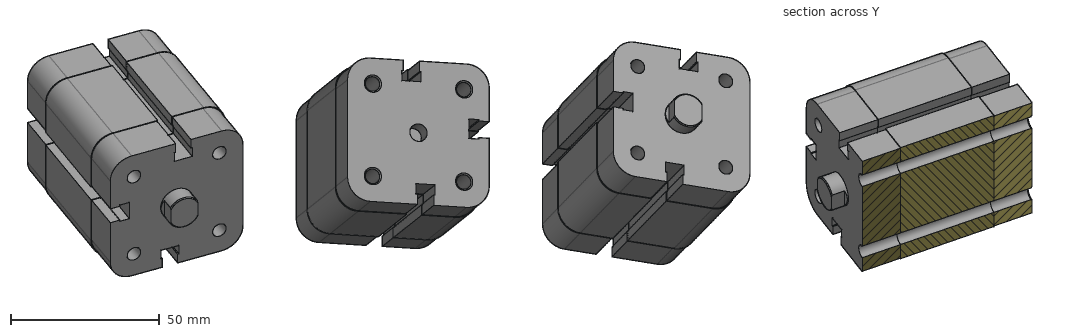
import cadquery as cq
import math


total_length = 70.5
cap_length = 14.5
rod_length = 6.0
tube_length = total_length - 2 * cap_length - rod_length

tube_width = 50.0
corner_radius = 8.0
cap_inset = 0.25

slot_offset = 2.5
slot_mouth_width = 5.2
slot_inner_width = 6.2
slot_lip_thickness = 3.6
slot_depth = 7.1
slot_turns = (0, 90, 180)

bolt_spacing = 31.9
bolt_hole_diameter = 5.0
bolt_chamfer = 0.5
bolt_chamfer_angle = 45.0

centre_hole_diameter = 6.0
centre_hole_depth = cap_length / 2

rod_diameter = 12.0
rod_chamfer = 0.35
flat_spacing = 10.0
flat_gap = 1.0
flat_end_angle = 30.0


def slot_cutter(inset, length):
    """T-slot in the +Z side; its mouth, inner walls and floor move outward by the inset."""
    side = tube_width / 2
    mouth = slot_mouth_width / 2 + inset
    inner = slot_inner_width / 2 + inset
    lip_z = side - inset - slot_lip_thickness
    floor_z = side - slot_depth - inset
    outline = [
        (-mouth, side), (-mouth, lip_z), (-inner, lip_z), (-inner, floor_z),
        (inner, floor_z), (inner, lip_z), (mouth, lip_z), (mouth, side),
    ]
    shifted = [(y + slot_offset, z) for y, z in outline]
    return cq.Workplane("YZ").polyline(shifted).close().extrude(length)


def bolt_points(plane):
    """Put the four bolt positions on a YZ workplane."""
    return plane.rect(bolt_spacing, bolt_spacing, forConstruction=True).vertices()


def section_block(inset, length):
    """Rounded, slotted and drilled block that starts at X = 0."""
    width = tube_width - 2 * inset
    block = cq.Workplane("YZ").rect(width, width).extrude(length)
    block = block.edges("|X").fillet(corner_radius)
    for turn in slot_turns:
        cutter = slot_cutter(inset, length).rotate((0, 0, 0), (1, 0, 0), turn)
        block = block.cut(cutter)
    holes = bolt_points(cq.Workplane("YZ")).circle(bolt_hole_diameter / 2).extrude(length)
    return block.cut(holes)


def make_tube():
    return section_block(0, tube_length).translate((cap_length, 0, 0))


def make_rear_cap():
    """Cap with chamfered bolt holes and a blind centre hole in its outer face."""
    cap = section_block(cap_inset, cap_length)
    mouth_radius = bolt_hole_diameter / 2 + bolt_chamfer
    mouths = bolt_points(cq.Workplane("YZ")).circle(mouth_radius)
    countersinks = mouths.extrude(bolt_chamfer, taper=bolt_chamfer_angle)
    centre_hole = cq.Workplane("YZ").circle(centre_hole_diameter / 2).extrude(centre_hole_depth)
    return cap.cut(countersinks).cut(centre_hole)


def make_front_cap():
    """Cap with plain bolt holes; the piston rod stands on its outer face."""
    return section_block(cap_inset, cap_length).translate((cap_length + tube_length, 0, 0))


def make_rod():
    """Round rod with a chamfered tip and a flat on its -Y and +Y sides."""
    radius = rod_diameter / 2
    rod = cq.Workplane("YZ").circle(radius).extrude(rod_length)
    rod = rod.faces(">X").chamfer(rod_chamfer)
    flat_y = flat_spacing / 2
    slope_length = (radius - flat_y) * math.tan(math.radians(flat_end_angle))
    outline = [
        (flat_gap, flat_y),
        (rod_length, flat_y),
        (rod_length, radius),
        (flat_gap - slope_length, radius),
    ]
    cutter = cq.Workplane("XY").polyline(outline).close().extrude(radius, both=True)
    rod = rod.cut(cutter).cut(cutter.mirror("XZ"))
    return rod.translate((total_length - rod_length, 0, 0))


rear_cap = make_rear_cap()
tube = make_tube()
front_cap = make_front_cap()
rod = make_rod()

result = cq.Compound.makeCompound([rear_cap.val(), tube.val(), front_cap.val(), rod.val()])